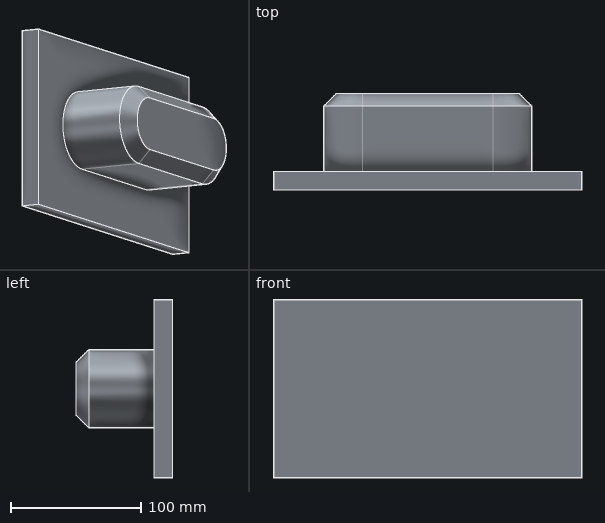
import cadquery as cq

plate_length = 237.0
plate_height = 137.0
total_depth = 74.5

boss_length = 160.2
boss_height = 60.2
boss_depth = 60.0
boss_chamfer = 10.0

plate_thickness = total_depth - boss_depth


def make_plate():
    """Plate with its front face at Y = 0."""
    return cq.Workplane("XY").box(
        plate_length, plate_thickness, plate_height, centered=(True, False, True)
    )


def make_boss():
    """Boss rising from the back of the plate, chamfered around its free end."""
    return (
        cq.Workplane("XZ", origin=(0, plate_thickness, 0))
        .slot2D(boss_length, boss_height)
        .extrude(-boss_depth)
        .faces(">Y")
        .chamfer(boss_chamfer)
    )


result = make_plate().union(make_boss())